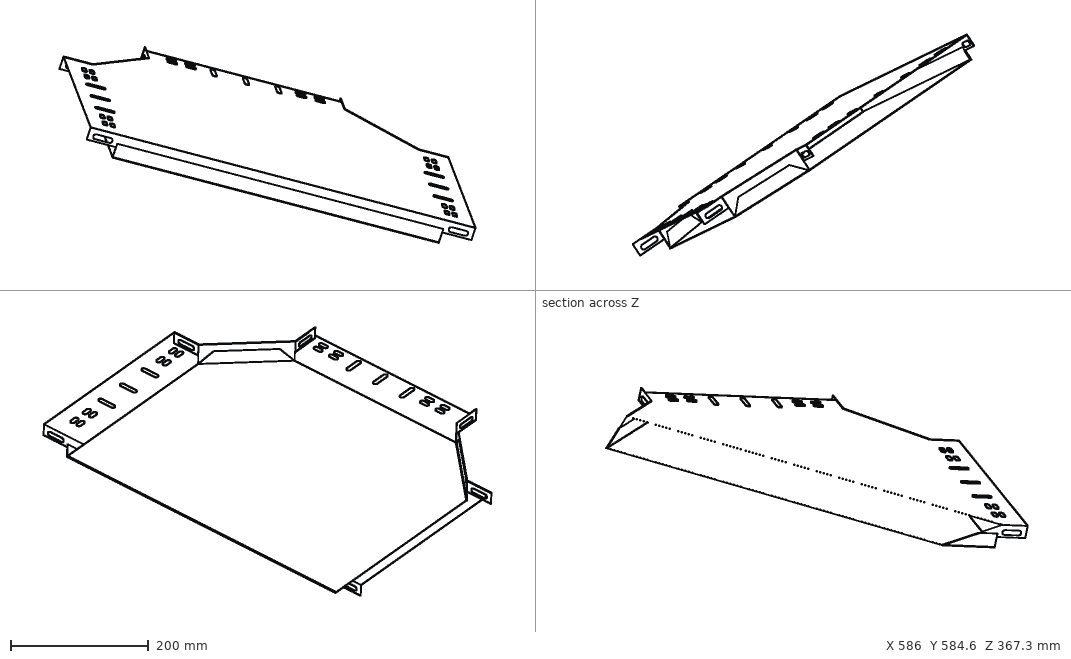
import cadquery as cq
import math


TILT_Z = 61.74
TILT_Y = -16.39
TILT_X = -30.44

SHEET = 1.0
RUN_LENGTH = 592.0
DUCT_WIDTH = 302.0
DEPTH = 36.5
MITRE_RUN = 99.5
LIP_HEIGHT = 22.0

TAB_LENGTH = 45.0
TAB_HEIGHT = 20.0
TAB_SLOT_LENGTH = 29.5
TAB_SLOT_WIDTH = 7.5
TAB_SLOT_DEPTH = 12.5
BRANCH_SETBACK = 15.0

LONG_SLOT_LENGTH = 30.0
SMALL_SLOT_LENGTH = 15.0
SLOT_WIDTH = 7.0
LONG_SLOT_INSET = 36.0
SMALL_PAIR_INSET = 33.0
SMALL_PAIR_PITCH = 12.0
LONG_SLOT_PITCH = 50.0
SMALL_SLOT_OFFSETS = (85.0, 113.5)

HALF_RUN = RUN_LENGTH / 2
HALF_DUCT = DUCT_WIDTH / 2
HALF_BODY = HALF_RUN - TAB_LENGTH
BRANCH_START = DUCT_WIDTH + MITRE_RUN
BRANCH_END = BRANCH_START + TAB_LENGTH
WALL_HEIGHT = DEPTH - SHEET
MITRE_LENGTH = math.hypot(HALF_BODY - HALF_DUCT, MITRE_RUN)


def mirrored(right_half):
    """Close an outline symmetric about X = 0 from its right half, listed from front to back."""
    return right_half + [(-x, y) for x, y in reversed(right_half)]


def upright(points, start, end, offset=0.0):
    """Sheet standing along the line start-end, its thickness to the left of that line.

    The points are (distance along the line, Z); offset shifts the sheet to the left.
    """
    along = cq.Vector(end[0] - start[0], end[1] - start[1], 0).normalized()
    left = cq.Vector(-along.y, along.x, 0)
    origin = cq.Vector(start[0], start[1], 0) + left * offset
    plane = cq.Plane(origin=origin, xDir=along, normal=left * -1)
    return cq.Workplane(plane).polyline(points).close().extrude(-SHEET)


def rectangle(length, bottom, top):
    return [(0, bottom), (length, bottom), (length, top), (0, top)]


BACK_LINE = ((-HALF_BODY, 0), (HALF_BODY, 0))
RIGHT_MITRE_LINE = ((HALF_BODY, DUCT_WIDTH), (HALF_DUCT, BRANCH_START))
LEFT_MITRE_LINE = ((-HALF_DUCT, BRANCH_START), (-HALF_BODY, DUCT_WIDTH))
MITRE_LINES = (RIGHT_MITRE_LINE, LEFT_MITRE_LINE)

TAB_LINES = (
    ((-HALF_RUN, 0), (-HALF_BODY, 0)),
    ((HALF_BODY, 0), (HALF_RUN, 0)),
    ((HALF_RUN, DUCT_WIDTH), (HALF_BODY, DUCT_WIDTH)),
    ((-HALF_BODY, DUCT_WIDTH), (-HALF_RUN, DUCT_WIDTH)),
    ((HALF_DUCT, BRANCH_START), (HALF_DUCT, BRANCH_END)),
    ((-HALF_DUCT, BRANCH_END), (-HALF_DUCT, BRANCH_START)),
)


def make_tab(start, end):
    """Coupling tab with one slot along its middle."""
    tab = upright(rectangle(TAB_LENGTH, -TAB_HEIGHT, 0), start, end)
    middle = ((start[0] + end[0]) / 2, (start[1] + end[1]) / 2, -TAB_SLOT_DEPTH)
    along = (end[0] - start[0], end[1] - start[1], 0)
    across = (along[1], -along[0], 0)
    slot = (
        cq.Workplane(cq.Plane(origin=middle, xDir=along, normal=across))
        .slot2D(TAB_SLOT_LENGTH, TAB_SLOT_WIDTH)
        .extrude(2 * SHEET, both=True)
    )
    return tab.cut(slot)


def opening_perforations():
    """Slot cutters of one opening; its tab ends lie on X = 0 and its duct centreline on Y = 0."""
    long_points = [(-LONG_SLOT_INSET, i * LONG_SLOT_PITCH) for i in (-1, 0, 1)]
    small_points = [
        (-SMALL_PAIR_INSET + row * SMALL_PAIR_PITCH / 2, side * offset)
        for row in (-1, 1)
        for side in (-1, 1)
        for offset in SMALL_SLOT_OFFSETS
    ]
    long_slots = cq.Workplane("XY").pushPoints(long_points).slot2D(LONG_SLOT_LENGTH, SLOT_WIDTH)
    small_slots = cq.Workplane("XY").pushPoints(small_points).slot2D(SMALL_SLOT_LENGTH, SLOT_WIDTH, 90)
    return long_slots.extrude(2 * SHEET, both=True).union(small_slots.extrude(2 * SHEET, both=True))


def make_cover():
    outline = mirrored([
        (HALF_RUN, 0),
        (HALF_RUN, DUCT_WIDTH),
        (HALF_BODY, DUCT_WIDTH),
        (HALF_DUCT, BRANCH_START),
        (HALF_DUCT, BRANCH_END - BRANCH_SETBACK),
    ])
    cover = cq.Workplane("XY").polyline(outline).close().extrude(-SHEET)

    back_length = 2 * HALF_BODY
    cover = cover.union(upright(rectangle(back_length, -WALL_HEIGHT, 0), *BACK_LINE))
    for line in MITRE_LINES:
        cover = cover.union(upright(rectangle(MITRE_LENGTH, -WALL_HEIGHT, 0), *line))

    for line in TAB_LINES:
        cover = cover.union(make_tab(*line))

    openings = (
        (0, HALF_RUN, HALF_DUCT),
        (90, 0, BRANCH_END),
        (180, -HALF_RUN, HALF_DUCT),
    )
    for turn, x, y in openings:
        cutters = opening_perforations().rotate((0, 0, 0), (0, 0, 1), turn).translate((x, y, 0))
        cover = cover.cut(cutters)
    return cover


def make_base():
    outline = mirrored([
        (HALF_BODY, 0),
        (HALF_BODY, DUCT_WIDTH),
        (HALF_DUCT, BRANCH_START),
    ])
    base = cq.Workplane("XY", origin=(0, 0, -DEPTH)).polyline(outline).close().extrude(SHEET)

    lip_top = LIP_HEIGHT - DEPTH
    back_lip = upright(rectangle(2 * HALF_BODY, -DEPTH, lip_top), *BACK_LINE, offset=-SHEET)
    base = base.union(back_lip)
    tapered_lip = [
        (0, -DEPTH),
        (MITRE_LENGTH, -DEPTH),
        (MITRE_LENGTH - LIP_HEIGHT, lip_top),
        (LIP_HEIGHT, lip_top),
    ]
    for line in MITRE_LINES:
        base = base.union(upright(tapered_lip, *line, offset=-SHEET))
    return base


def tilted(body):
    body = body.rotate((0, 0, 0), (0, 0, 1), TILT_Z)
    body = body.rotate((0, 0, 0), (0, 1, 0), TILT_Y)
    return body.rotate((0, 0, 0), (1, 0, 0), TILT_X)


cover = tilted(make_cover())
base = tilted(make_base())

result = cq.Compound.makeCompound([cover.val(), base.val()])